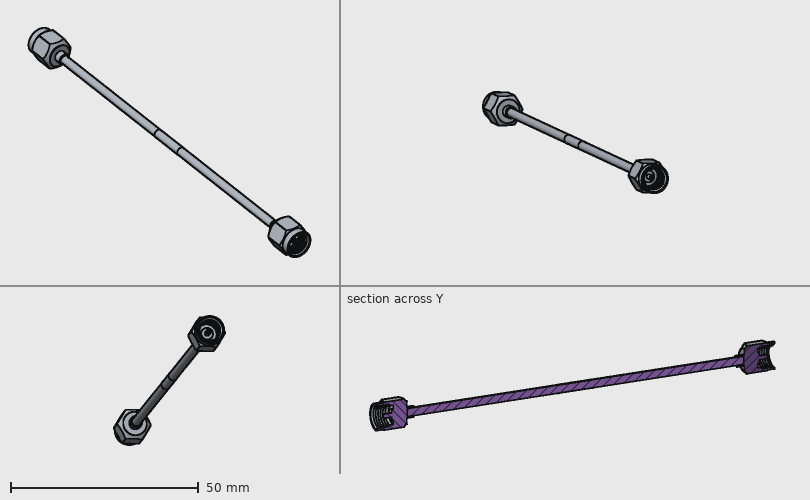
import cadquery as cq
import math

OVERALL_LENGTH = 118.92

HEX_ACROSS_FLATS = 7.94
HEX_CORNER_DIAMETER = 9.12
COLLAR_DIAMETER = 7.6
COLLAR_LENGTH = 2.1
NUT_LENGTH = 9.15
REAR_RIM_DIAMETER = 6.4
REAR_RIM_LENGTH = 0.25
FRONT_CHAMFER_ANGLE = 38
REAR_CHAMFER_ANGLE = 40

THREAD_MINOR_DIAMETER = 5.3
THREAD_MAJOR_DIAMETER = 6.4
THREAD_PITCH = 0.705
THREAD_GROOVES = 5
THREAD_START = 0.4
LEAD_IN_DIAMETER = 6.8
SOCKET_DEPTH = 5.0

INSULATOR_DIAMETER = 3.2
INSULATOR_LENGTH = 0.5
PIN_DIAMETER = 1.27
PIN_LENGTH = 3.0
PIN_TIP_CHAMFER = 0.3

FERRULE_DIAMETER = 3.2
CONNECTOR_LENGTH = 11.2

CABLE_DIAMETER = 2.4
MARKER_DIAMETER = 2.45
MARKER_LENGTH = 10.4


def rod(diameter, start, end):
    """Round bar along X between two X positions."""
    return cq.Workplane("YZ").workplane(offset=start).circle(diameter / 2).extrude(end - start)


def nut_blank():
    """Hexagon with coned ends, a plain collar in front of it and a short round rim behind it."""
    hexagon = (
        cq.Workplane("YZ")
        .workplane(offset=COLLAR_LENGTH)
        .polygon(6, HEX_ACROSS_FLATS / math.cos(math.pi / 6))
        .extrude(NUT_LENGTH - COLLAR_LENGTH)
    )
    corner_radius = HEX_CORNER_DIAMETER / 2
    collar_radius = COLLAR_DIAMETER / 2
    rear_radius = REAR_RIM_DIAMETER / 2
    front_cone = (corner_radius - collar_radius) * math.tan(math.radians(FRONT_CHAMFER_ANGLE))
    rear_cone = (corner_radius - rear_radius) * math.tan(math.radians(REAR_CHAMFER_ANGLE))
    envelope = (
        cq.Workplane("XY")
        .moveTo(COLLAR_LENGTH, 0)
        .lineTo(COLLAR_LENGTH, collar_radius)
        .lineTo(COLLAR_LENGTH + front_cone, corner_radius)
        .lineTo(NUT_LENGTH - REAR_RIM_LENGTH - rear_cone, corner_radius)
        .lineTo(NUT_LENGTH - REAR_RIM_LENGTH, rear_radius)
        .lineTo(NUT_LENGTH, rear_radius)
        .lineTo(NUT_LENGTH, 0)
        .close()
        .revolve(360, (0, 0, 0), (1, 0, 0))
    )
    return hexagon.intersect(envelope).union(rod(COLLAR_DIAMETER, 0, COLLAR_LENGTH))


def ring_groove(start):
    """V-shaped ring, one pitch wide, from the minor out to the major diameter of the thread."""
    minor_radius = THREAD_MINOR_DIAMETER / 2
    return (
        cq.Workplane("XY")
        .moveTo(start, 0)
        .lineTo(start, minor_radius)
        .lineTo(start + THREAD_PITCH / 2, THREAD_MAJOR_DIAMETER / 2)
        .lineTo(start + THREAD_PITCH, minor_radius)
        .lineTo(start + THREAD_PITCH, 0)
        .close()
        .revolve(360, (0, 0, 0), (1, 0, 0))
    )


def lead_in():
    """Cone that opens the mouth of the thread at 45 degrees."""
    mouth_radius = LEAD_IN_DIAMETER / 2
    return (
        cq.Workplane("XY")
        .lineTo(0, mouth_radius)
        .lineTo(mouth_radius, 0)
        .close()
        .revolve(360, (0, 0, 0), (1, 0, 0))
    )


def centre_pin():
    """Contact pin with a chamfered tip, rising from the socket floor."""
    return rod(PIN_DIAMETER, SOCKET_DEPTH - PIN_LENGTH, SOCKET_DEPTH).faces("<X").chamfer(PIN_TIP_CHAMFER)


def make_connector():
    """Plug with its mating face at X = 0 and its cable end towards +X."""
    connector = nut_blank().cut(rod(THREAD_MINOR_DIAMETER, 0, SOCKET_DEPTH)).cut(lead_in())
    for groove in range(THREAD_GROOVES):
        connector = connector.cut(ring_groove(THREAD_START + groove * THREAD_PITCH))
    return (
        connector
        .union(rod(INSULATOR_DIAMETER, SOCKET_DEPTH - INSULATOR_LENGTH, SOCKET_DEPTH))
        .union(centre_pin())
        .union(rod(FERRULE_DIAMETER, NUT_LENGTH, CONNECTOR_LENGTH))
        .cut(rod(CABLE_DIAMETER, NUT_LENGTH, CONNECTOR_LENGTH))
    )


def make_cable():
    """Cable running from the back of one nut to the back of the other, through both ferrules."""
    half_length = OVERALL_LENGTH / 2 - NUT_LENGTH
    return rod(CABLE_DIAMETER, -half_length, half_length)


def make_marker():
    """Sleeve around the middle of the cable."""
    half_length = MARKER_LENGTH / 2
    return rod(MARKER_DIAMETER, -half_length, half_length).cut(
        rod(CABLE_DIAMETER, -half_length, half_length)
    )


cable = make_cable()
marker = make_marker()
connectors = []
for turn in (0, 180):
    placed = make_connector().translate((-OVERALL_LENGTH / 2, 0, 0))
    connectors.append(placed.rotate((0, 0, 0), (0, 0, 1), turn).val())

result = cq.Compound.makeCompound([cable.val(), marker.val(), *connectors])